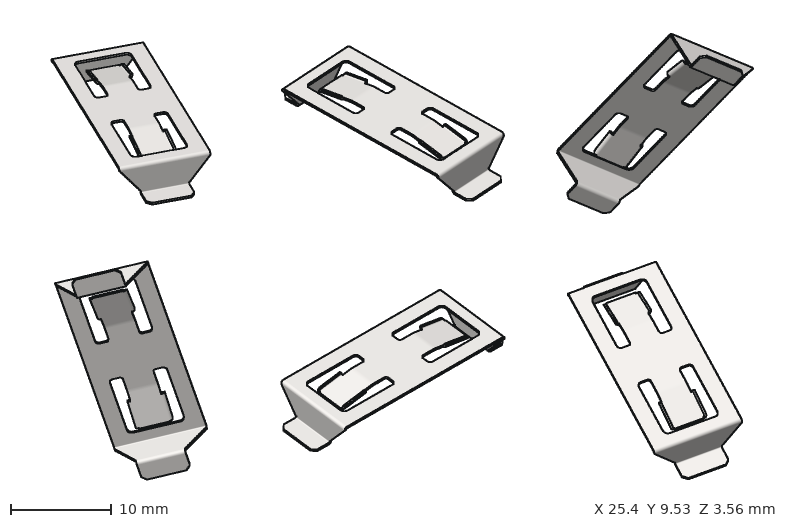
import cadquery as cq
import math

thickness = 0.245
inner_bend = 0.11
outer_bend = inner_bend + thickness

overall_length = 25.4
body_length = 21.2
body_width = 9.53
height = 3.56
foot_width = 5.05
foot_chamfer = 0.48

window_inner_x = 2.27
window_outer_x = 9.1
window_width = 5.9
window_outer_corner = 0.52
window_inner_corner = 0.4
root_corner = 0.3

tongue_width = 3.175
tongue_start_x = 3.88
tongue_tip_x = 8.33
tongue_angle = 10.0
tongue_bend_run = 0.38

ear_length = 3.05
ear_inset = 0.07
ear_height = 0.45
ear_corner = 0.38

half_body = body_length / 2
half_foot_span = overall_length / 2
angle = math.radians(tongue_angle)
tongue_bend_radius = tongue_bend_run / math.sin(angle)
tongue_flat_length = (tongue_tip_x - tongue_start_x - tongue_bend_run) / math.cos(angle)


def tongue_plane(y=0.0, inset=0.0):
    """Plane on the tongue's top face at an inset from its tip.

    Local x runs back towards the root and local y is the sheet normal.
    """
    bend_drop = tongue_bend_radius * (1 - math.cos(angle))
    tip_z = -bend_drop - tongue_flat_length * math.sin(angle)
    return cq.Plane(
        origin=(
            -tongue_tip_x + inset * math.cos(angle),
            y,
            tip_z + inset * math.sin(angle),
        ),
        xDir=(math.cos(angle), 0, math.sin(angle)),
        normal=(0, -1, 0),
    )


def extrude_across(profile, width):
    """Extrude a profile drawn in a plane facing -Y by half the width to each side."""
    return profile.extrude(width / 2, both=True)


def make_window():
    """C-shaped opening, whose inner side is notched by the root of the tongue."""
    opening = (
        cq.Workplane("XY", origin=(0, 0, -thickness))
        .moveTo(-(window_inner_x + window_outer_x) / 2, 0)
        .rect(window_outer_x - window_inner_x, window_width)
        .extrude(thickness)
        .edges("|Z and <X")
        .fillet(window_outer_corner)
        .edges("|Z and >X")
        .fillet(window_inner_corner)
    )
    root_length = tongue_start_x - window_inner_x
    root = (
        cq.Workplane("XY", origin=(0, 0, -thickness))
        .moveTo(-window_inner_x - root_length / 2, 0)
        .rect(root_length, tongue_width)
        .extrude(thickness)
    )
    root_ends = cq.selectors.BoxSelector(
        (-window_inner_x - root_corner, -tongue_width, -height),
        (-window_inner_x + root_corner, tongue_width, height),
    )
    return opening.cut(root).edges("|Z").edges(root_ends).fillet(root_corner)


def make_top_sheet():
    """Flat top between the two end bends, with a window at each end."""
    sheet = cq.Workplane("XY", origin=(0, 0, -thickness))
    sheet = sheet.rect(body_length - 2 * outer_bend, body_width).extrude(thickness)
    window = make_window()
    return sheet.cut(window).cut(window.mirror("YZ"))


def make_leg():
    """End wall with its foot: a folded strip trimmed to a tapering outline."""
    wall_inside_x = -half_body + thickness
    foot_bend_x = -half_body - inner_bend
    strip = (
        cq.Workplane("XZ")
        .moveTo(-half_body + outer_bend, 0)
        .radiusArc((-half_body, -outer_bend), -outer_bend)
        .lineTo(-half_body, -height + outer_bend)
        .radiusArc((foot_bend_x, -height + thickness), inner_bend)
        .lineTo(-half_foot_span, -height + thickness)
        .lineTo(-half_foot_span, -height)
        .lineTo(foot_bend_x, -height)
        .radiusArc((wall_inside_x, -height + outer_bend), -outer_bend)
        .lineTo(wall_inside_x, -outer_bend)
        .radiusArc((-half_body + outer_bend, -thickness), inner_bend)
        .close()
    )
    outline = (
        cq.Workplane("YZ", origin=(-half_foot_span, 0, 0))
        .polyline([
            (-body_width / 2, 0),
            (body_width / 2, 0),
            (body_width / 2, -outer_bend),
            (foot_width / 2, -height + outer_bend),
            (foot_width / 2, -height),
            (-foot_width / 2, -height),
            (-foot_width / 2, -height + outer_bend),
            (-body_width / 2, -outer_bend),
        ])
        .close()
        .extrude(half_foot_span)
    )
    leg = extrude_across(strip, body_width).intersect(outline)
    return leg.faces("<X").edges("|Z").chamfer(foot_chamfer)


def make_tongue():
    """Spring tongue: a gentle downward bend followed by a flat slope."""
    under_radius = tongue_bend_radius - thickness
    bend_end_x = -tongue_start_x - tongue_bend_run
    bend_end_z = -tongue_bend_radius * (1 - math.cos(angle))
    under_end_x = -tongue_start_x - under_radius * math.sin(angle)
    under_end_z = -thickness - under_radius * (1 - math.cos(angle))
    bend = (
        cq.Workplane("XZ")
        .moveTo(-tongue_start_x, 0)
        .radiusArc((bend_end_x, bend_end_z), -tongue_bend_radius)
        .lineTo(under_end_x, under_end_z)
        .radiusArc((-tongue_start_x, -thickness), under_radius)
        .close()
    )
    slope = cq.Workplane(tongue_plane()).rect(tongue_flat_length, -thickness, centered=False)
    return extrude_across(bend, tongue_width).union(extrude_across(slope, tongue_width))


def make_ear():
    """Ear on the -Y edge of the tongue, bent up square to it, with its top tip corner rounded."""
    edge_y = -tongue_width / 2
    outer_y = edge_y - outer_bend
    ear_tip = tongue_plane(edge_y, ear_inset)
    ear_top = ear_height - thickness
    section = cq.Plane(origin=ear_tip.origin, xDir=(0, 1, 0), normal=ear_tip.xDir)
    ear = (
        cq.Workplane(section)
        .moveTo(0, 0)
        .radiusArc((-inner_bend, inner_bend), inner_bend)
        .lineTo(-inner_bend, ear_top)
        .lineTo(-outer_bend, ear_top)
        .lineTo(-outer_bend, inner_bend)
        .radiusArc((0, -thickness), -outer_bend)
        .close()
        .extrude(ear_length)
    )
    corner = (
        cq.Workplane(tongue_plane(outer_y, ear_inset))
        .moveTo(0, ear_top - ear_corner)
        .radiusArc((ear_corner, ear_top), ear_corner)
        .lineTo(0, ear_top)
        .close()
        .extrude(-outer_bend)
    )
    return ear.cut(corner)


ear = make_ear()
spring_end = make_leg().union(make_tongue()).union(ear).union(ear.mirror("XZ"))
result = make_top_sheet().union(spring_end).union(spring_end.mirror("YZ"))